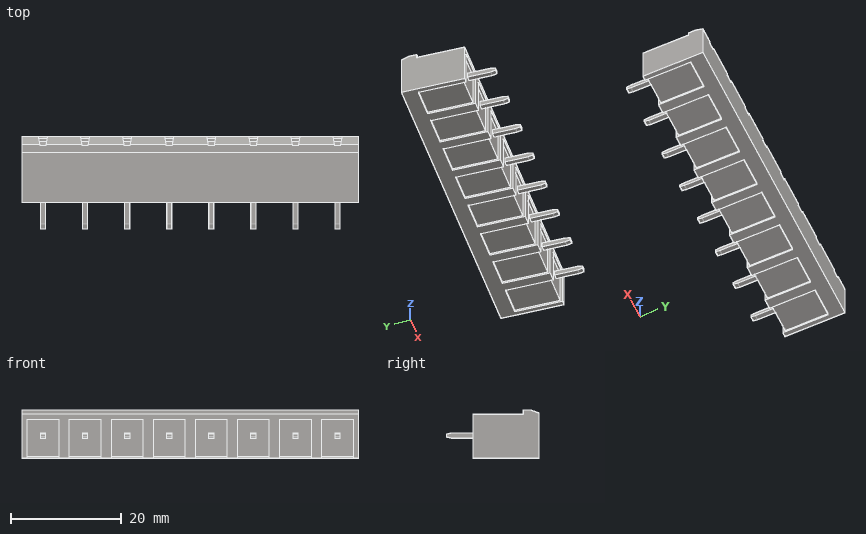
import cadquery as cq

poles = 8
length = 60.9
pitch = length / poles
body_depth = 12.0
body_height = 8.05

ridge_depth = 2.9
ridge_height = 8.8
slope_depth = 1.45
slope_drop = 0.55

pocket_width = 5.7
pocket_top = 7.05
pocket_depth = 0.5
channel_height = 0.35

pin_size = 1.0
pin_reach = 4.8
pin_height = 4.15
tip_length = 0.9
tip_size = 0.55
pin_embed = 0.6

notch_depth = 1.65
notch_rear_width = 1.65
notch_front_width = 1.1
trough_radius = 1.7
trough_floor = 7.8
trough_front = 1.0
flare_depth = 0.35
flare_rise = 0.2

pole_positions = [(i - (poles - 1) / 2) * pitch for i in range(poles)]
front_y = -body_depth


def make_housing():
    profile = [
        (0, 0),
        (0, ridge_height - slope_drop),
        (-slope_depth, ridge_height),
        (-ridge_depth, ridge_height),
        (-ridge_depth, body_height),
        (front_y, body_height),
        (front_y, 0),
    ]
    side = cq.Workplane("YZ").polyline(profile).close()
    return side.extrude(length / 2, both=True)


def make_pocket(x):
    """Shallow front recess that continues as a low channel under the housing."""
    channel_length = body_depth - ridge_depth
    profile = [
        (0, 0),
        (0, pocket_top),
        (pocket_depth, pocket_top),
        (pocket_depth, channel_height),
        (channel_length, channel_height),
        (channel_length, 0),
    ]
    pocket = cq.Workplane("YZ").polyline(profile).close().extrude(pocket_width / 2, both=True)
    return pocket.translate((x, front_y, 0))


def make_pin(x):
    tip_y = front_y - pin_reach
    root_y = front_y + pocket_depth + pin_embed
    half_side = pin_size / 2
    half_tip = tip_size / 2
    profile = [
        (root_y, -half_side),
        (tip_y + tip_length, -half_side),
        (tip_y, -half_tip),
        (tip_y, half_tip),
        (tip_y + tip_length, half_side),
        (root_y, half_side),
    ]
    pin = cq.Workplane("YZ").polyline(profile).close().extrude(half_side, both=True)
    return pin.translate((x, 0, pin_height))


def make_notch(x):
    """Tapered slot over a ramp, a round trough and a conical flare at the back."""
    axis_z = trough_floor + trough_radius
    wedge_outline = [
        (-notch_rear_width / 2, 0),
        (notch_rear_width / 2, 0),
        (notch_front_width / 2, -notch_depth),
        (-notch_front_width / 2, -notch_depth),
    ]
    wedge = cq.Workplane("XY").polyline(wedge_outline).close().extrude(ridge_height)
    trough_outline = [
        (0, 0),
        (trough_radius + flare_rise, 0),
        (trough_radius, -flare_depth),
        (trough_radius, -trough_front),
        (0, -trough_front),
    ]
    trough = cq.Workplane("XY").polyline(trough_outline).close().revolve(360, (0, 0, 0), (0, 1, 0))
    ramp_outline = [
        (-trough_front, trough_floor),
        (-notch_depth, ridge_height),
        (-trough_front, ridge_height),
    ]
    ramp = cq.Workplane("YZ").polyline(ramp_outline).close().extrude(notch_rear_width / 2, both=True)
    floor_shape = trough.translate((0, 0, axis_z)).union(ramp)
    return wedge.intersect(floor_shape).translate((x, 0, 0))


result = make_housing()
for pole_x in pole_positions:
    result = result.cut(make_pocket(pole_x)).cut(make_notch(pole_x)).union(make_pin(pole_x))